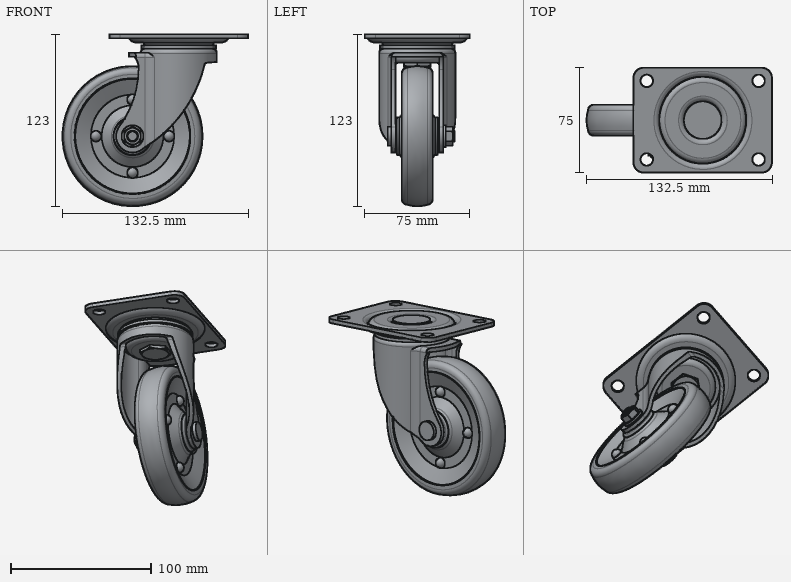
import cadquery as cq
import math


wheel_radius = 50.1
total_length = 132.5
total_height = 123.0
sheet = 3.0

plate_length = 99.0
plate_width = 75.0
plate_corner_radius = 7.5
bolt_hole_diameter = 8.7
bolt_hole_pitch_x = 79.8
bolt_hole_pitch_y = 56.0
press_rounding = 3.8
groove_radius = 31.0
groove_floor = 0.3
pin_head_radius = 13.4
dish_top_radius = 35.4
dish_bottom_radius = 30.5
dish_depth = 6.1
dish_mid_radius = 33.3
dish_mid_depth = 5.3
neck_top_radius = 25.5
neck_bottom_radius = 24.4
pin_radius = 6.0
pin_nut_flats = 19.2
pin_nut_bottom = -23.2

race_radius = 26.8
race_top = -8.1
race_bottom = -10.5
crown_radius = 27.3
bend_rounding = 3.2
flange_top = -13.2
flange_front_radius = 35.5
arm_inner = 15.5
arm_bend_start = -24.4
arm_end_radius = 11.7
bowl_radius = 21.2
bowl_bottom = -20.7
bowl_rounding = 4.0
skirt_bottom = -20.0
flange_notch_x = -31.4
arm_end_front_angle = 145.0
arm_end_bottom_angle = 230.0
arm_end_back_angle = 315.0
arm_front_upper_mid = (-29.2, -20.7)
arm_front_waist = (-28.6, -25.2)
arm_front_lower_mid = (-31.7, -44.8)
arm_back_mid = (2.9, -55.8)
arm_back_top = (18.4, -22.3)
skirt_corner_mid = (19.1, -21.0)
skirt_corner_end = (20.4, -20.5)

tyre_half_width = 11.1
tread_half_width = 7.2
tread_edge_radius = 49.0
shoulder_radius = 47.7
shoulder_half_width = 10.0
tyre_face_radius = 44.3
tyre_bore_radius = 41.3
rim_radius = 40.8
rim_recess = 0.5
web_half_width = 5.7
web_outer_radius = 29.7
web_inner_radius = 22.0
hub_cone_radius = 15.2
hub_neck_radius = 13.2
hub_neck_offset = 12.7
hub_cap_radius = 13.6
hub_cap_offset = 14.7
hub_cap_rounding = 1.3
spacer_radius = 8.7
rivet_radius = 3.8
rivet_circle_radius = 26.1
rivet_count = 4

axle_radius = 4.0
axle_tip = 26.8
axle_tip_chamfer = 0.5
head_radius = 6.9
head_height = 2.6
washer_radius = 7.8
washer_thickness = 1.9
nut_flats = 11.9
nut_height = 5.0

wheel_x = plate_length / 2 - total_length + wheel_radius
wheel_z = wheel_radius - total_height
arm_outer = arm_inner + sheet
flange_bottom = flange_top - sheet


def hex_nut(flats, height):
    """Hexagonal prism from Z = 0 upwards, corners on the X axis, top corners bevelled."""
    corner_radius = flats / 2 / math.cos(math.pi / 6)
    bevel = corner_radius - flats / 2
    hexagon = cq.Workplane("XY").polygon(6, 2 * corner_radius).extrude(height)
    bevelled_disc = cq.Workplane("XY").circle(corner_radius).extrude(height)
    bevelled_disc = bevelled_disc.faces(">Z").chamfer(bevel / 2, bevel)
    return hexagon.intersect(bevelled_disc)


def along_axle(radius, start, end):
    """Cylinder on the axle line between two Y positions."""
    return cq.Workplane("XZ", origin=(wheel_x, start, wheel_z)).circle(radius).extrude(start - end)


def spin_about_axle(profile):
    """Solid of revolution about the axle line from a closed (radius, Y) profile."""
    return profile.revolve(360, (0, 0, 0), (0, 1, 0)).translate((wheel_x, 0, wheel_z))


def rounded_groove(floor_inner, floor_outer, round_inner):
    """Ring groove in the plate top, with a convex shoulder outside and optionally inside."""
    r = press_rounding
    k = r * math.sin(math.pi / 4)
    profile = cq.Workplane("XZ").moveTo(floor_inner, -r).lineTo(floor_outer, -r)
    profile = profile.threePointArc((floor_outer + r - k, k - r), (floor_outer + r, 0))
    if round_inner:
        profile = profile.lineTo(floor_inner - r, 0)
        profile = profile.threePointArc((floor_inner - r + k, k - r), (floor_inner, -r))
    else:
        profile = profile.lineTo(floor_inner, 0)
    return profile.close().revolve(360, (0, 0, 0), (0, 1, 0))


def make_plate():
    """Mounting plate with its pressed dish, neck and the king pin that carries the fork."""
    plate = (
        cq.Workplane("XY").rect(plate_length, plate_width).extrude(-sheet)
        .edges("|Z").fillet(plate_corner_radius)
    )
    holes = (
        cq.Workplane("XY").rect(bolt_hole_pitch_x, bolt_hole_pitch_y, forConstruction=True).vertices()
        .circle(bolt_hole_diameter / 2).extrude(-sheet)
    )
    dish_and_pin = (
        cq.Workplane("XZ").moveTo(0, -sheet).lineTo(dish_top_radius, -sheet)
        .threePointArc((dish_mid_radius, -dish_mid_depth), (dish_bottom_radius, -dish_depth))
        .lineTo(neck_top_radius, -dish_depth)
        .lineTo(neck_bottom_radius, race_top)
        .lineTo(pin_radius, race_top)
        .lineTo(pin_radius, bowl_bottom)
        .lineTo(0, bowl_bottom)
        .close().revolve(360, (0, 0, 0), (0, 1, 0))
    )
    nut = (
        hex_nut(pin_nut_flats, bowl_bottom - pin_nut_bottom)
        .rotate((0, 0, 0), (1, 0, 0), 180).translate((0, 0, bowl_bottom))
    )
    ring_groove = rounded_groove(groove_radius - groove_floor / 2, groove_radius + groove_floor / 2, True)
    pin_groove = rounded_groove(pin_head_radius, pin_head_radius + groove_floor / 2, False)
    return plate.cut(holes).union(dish_and_pin).union(nut).cut(ring_groove).cut(pin_groove)


def fork_plan(inset, front):
    """Plan outline of the fork: two straight arms flaring into a round crown, closed off straight at the front."""
    half_width = arm_outer - inset
    radius = crown_radius - inset
    flare = (arm_bend_start**2 + half_width**2 - radius**2) / (2 * (radius - half_width))
    centre_y = half_width + flare
    shrink = radius / (radius + flare)
    crown_x = arm_bend_start * shrink
    crown_y = centre_y * shrink
    mid_angle = (math.atan2(-centre_y, -arm_bend_start) - math.pi / 2) / 2
    mid_x = arm_bend_start + flare * math.cos(mid_angle)
    mid_y = centre_y + flare * math.sin(mid_angle)
    return (
        cq.Workplane("XY").moveTo(front, -half_width).lineTo(arm_bend_start, -half_width)
        .threePointArc((mid_x, -mid_y), (crown_x, -crown_y))
        .threePointArc((radius, 0), (crown_x, crown_y))
        .threePointArc((mid_x, mid_y), (arm_bend_start, half_width))
        .lineTo(front, half_width).close()
    )


def fork_side_outline():
    """Side silhouette of the fork from its top flange down to the rounded axle end, cut straight across."""

    def on_arm_end(degrees):
        angle = math.radians(degrees)
        return (wheel_x + arm_end_radius * math.cos(angle), wheel_z + arm_end_radius * math.sin(angle))

    return (
        cq.Workplane("XZ").moveTo(-flange_front_radius, race_bottom)
        .lineTo(-flange_front_radius, flange_bottom)
        .lineTo(flange_notch_x, flange_bottom)
        .threePointArc(arm_front_upper_mid, arm_front_waist)
        .threePointArc(arm_front_lower_mid, on_arm_end(arm_end_front_angle))
        .threePointArc(on_arm_end(arm_end_bottom_angle), on_arm_end(arm_end_back_angle))
        .threePointArc(arm_back_mid, arm_back_top)
        .threePointArc(skirt_corner_mid, skirt_corner_end)
        .lineTo(crown_radius, skirt_bottom)
        .lineTo(crown_radius, race_bottom)
        .close().extrude(crown_radius, both=True)
    )


def make_fork():
    """Pressed fork: race ring, crown, two arms, and the bearing bowl under the crown."""
    depth = flange_top - wheel_z + arm_end_radius
    arms_front = wheel_x - arm_end_radius
    outside = fork_plan(0, arms_front).extrude(-depth).translate((0, 0, flange_top))
    outside = outside.faces(">Z").edges("not <X").fillet(bend_rounding)
    crown = (
        cq.Workplane("XY").workplane(offset=skirt_bottom).circle(crown_radius)
        .extrude(race_bottom - skirt_bottom).faces(">Z").edges().fillet(bend_rounding)
    )
    cavity = fork_plan(sheet, arms_front).extrude(-depth).translate((0, 0, flange_bottom))
    shell = outside.union(crown).cut(cavity).intersect(fork_side_outline())
    tab_trim = (
        cq.Workplane("XY").workplane(offset=flange_bottom)
        .circle(2 * flange_front_radius).circle(flange_front_radius).extrude(sheet)
    )
    bowl = (
        cq.Workplane("XY").workplane(offset=bowl_bottom).circle(bowl_radius)
        .extrude(flange_bottom - bowl_bottom).faces("<Z").edges().fillet(bowl_rounding)
    )
    race = (
        cq.Workplane("XY").workplane(offset=race_bottom).circle(race_radius)
        .extrude(race_top - race_bottom)
    )
    pin_hole = cq.Workplane("XY").circle(pin_radius).extrude(bowl_bottom)
    axle_hole = along_axle(axle_radius, -arm_outer, arm_outer)
    return shell.cut(tab_trim).union(bowl).union(race).cut(pin_hole).cut(axle_hole)


def make_tyre():
    """Crowned tread with rounded shoulders and flat faces."""
    profile = (
        cq.Workplane("XY").moveTo(tyre_bore_radius, -tyre_half_width)
        .lineTo(tyre_face_radius, -tyre_half_width)
        .threePointArc((shoulder_radius, -shoulder_half_width), (tread_edge_radius, -tread_half_width))
        .threePointArc((wheel_radius, 0), (tread_edge_radius, tread_half_width))
        .threePointArc((shoulder_radius, shoulder_half_width), (tyre_face_radius, tyre_half_width))
        .lineTo(tyre_bore_radius, tyre_half_width)
        .close()
    )
    return spin_about_axle(profile)


def make_wheel():
    """Pressed wheel: rim, conical faces, hub with end caps and spacers, and rivet heads on both sides."""
    half_outline = [
        (axle_radius, arm_inner),
        (spacer_radius, arm_inner),
        (spacer_radius, hub_neck_offset),
        (hub_neck_radius, hub_neck_offset),
        (hub_cone_radius, tyre_half_width),
        (web_inner_radius, web_half_width),
        (web_outer_radius, web_half_width),
        (rim_radius, tyre_half_width - rim_recess),
        (tyre_bore_radius, tyre_half_width - rim_recess),
    ]
    mirrored = [(radius, -y) for radius, y in reversed(half_outline)]
    wheel = spin_about_axle(cq.Workplane("XY").polyline(half_outline + mirrored).close())
    wheel = wheel.rotate((wheel_x, 0, wheel_z), (wheel_x, 1, wheel_z), 180 / rivet_count)
    for side in (-1, 1):
        cap = along_axle(hub_cap_radius, side * hub_neck_offset, side * hub_cap_offset)
        cap = cap.faces("<Y" if side < 0 else ">Y").edges().fillet(hub_cap_rounding)
        wheel = wheel.union(cap.cut(along_axle(axle_radius, -hub_cap_offset, hub_cap_offset)))
        for index in range(rivet_count):
            angle = 2 * math.pi * index / rivet_count
            rivet_x = wheel_x + rivet_circle_radius * math.cos(angle)
            rivet_z = wheel_z + rivet_circle_radius * math.sin(angle)
            rivet_centre = (rivet_x, side * web_half_width, rivet_z)
            rivet = cq.Workplane("XY").sphere(rivet_radius).translate(rivet_centre)
            wheel = wheel.union(rivet)
    return wheel


def make_axle():
    """Axle bolt with a round head on the +Y side, and a washer and nut on the -Y side."""
    washer_face = -arm_outer - washer_thickness
    shank = along_axle(axle_radius, -axle_tip, arm_outer).faces("<Y").chamfer(axle_tip_chamfer)
    head = along_axle(head_radius, arm_outer, arm_outer + head_height)
    washer = along_axle(washer_radius, washer_face, -arm_outer)
    nut = (
        hex_nut(nut_flats, nut_height).rotate((0, 0, 0), (0, 0, 1), 90)
        .rotate((0, 0, 0), (1, 0, 0), 90).translate((wheel_x, washer_face, wheel_z))
    )
    return shank.union(head).union(washer).union(nut)


plate = make_plate()
fork = make_fork()
tyre = make_tyre()
wheel = make_wheel()
axle = make_axle()

result = cq.Compound.makeCompound([
    plate.solids().val(),
    fork.solids().val(),
    tyre.solids().val(),
    wheel.solids().val(),
    axle.solids().val(),
])